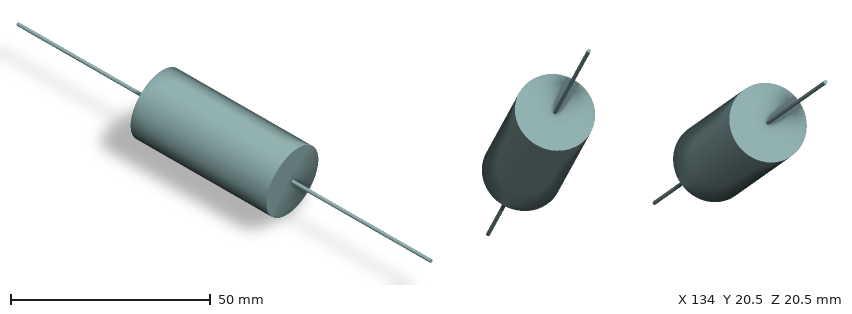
import cadquery as cq

CASE_DIAMETER = 20.5
CASE_LENGTH = 44.0
LEAD_DIAMETER = 1.0
OVERALL_LENGTH = 134.0


def rod_along_x(diameter, length):
    """Solid rod on the X axis, centred on the origin."""
    return cq.Workplane("YZ", origin=(-length / 2, 0, 0)).circle(diameter / 2).extrude(length)


lead = rod_along_x(LEAD_DIAMETER, OVERALL_LENGTH)

case = rod_along_x(CASE_DIAMETER, CASE_LENGTH).cut(lead)

result = cq.Compound.makeCompound([case.val(), lead.val()])